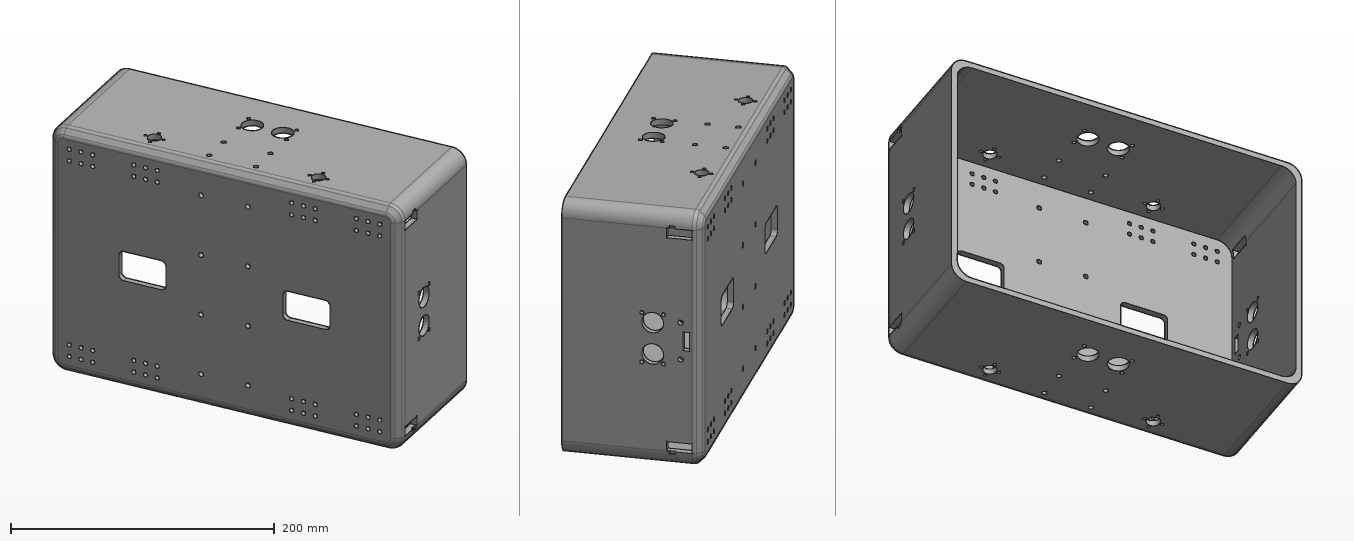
import cadquery as cq

LENGTH = 300.0
DEPTH = 110.0
HEIGHT = 210.0
WALL = 5.0
CORNER_RADIUS = 12.5
FRONT_CHAMFER = 6.3
CHAMFER_BLEND_RADIUS = 4.3

FRONT_Y = -DEPTH / 2
LEFT_X = -LENGTH / 2

CUTTER_START_Y = FRONT_Y + 2 * WALL
CUTTER_LENGTH = 3 * WALL

WINDOW_LENGTH = 40.0
WINDOW_HEIGHT = 25.0
WINDOW_RADIUS = 4.0
WINDOW_X = 70.0
BOARD_HOLE_DIAMETER = 4.0
BOARD_HOLE_COLUMN_PITCH = 40.0
BOARD_HOLE_ROW_PITCH = 51.2
BOARD_HOLE_ROWS = 4
GRID_HOLE_DIAMETER = 3.5
GRID_PITCH = 10.0
GRID_COLUMNS = 3
GRID_ROWS = 2
GRID_CENTRES_X = (67.4, 122.5)
GRID_CENTRE_Z = 84.1

EYE_DIAMETER = 17.0
EYE_PITCH = 26.0
SENSOR_SCREW_DIAMETER = 3.0
SENSOR_SCREW_PITCH_LONG = 41.0
SENSOR_SCREW_PITCH_SHORT = 17.0
TOP_SENSOR_Y = 16.5
SIDE_SENSOR_Y = -16.2
RIGHT_SENSOR_SHIFT = 0.8
RIGHT_SENSOR_NARROWING = 1.6

BRACKET_HOLE_DIAMETER = 4.0
BRACKET_HOLE_PITCH_X = 40.0
BRACKET_HOLE_PITCH_Y = 24.0
BRACKET_CENTRE_Y = -29.5
MOUNT_X = 70.0
MOUNT_Y = -35.0
MOUNT_HOLE_DIAMETER = 11.0
MOUNT_SCREW_DIAMETER = 2.5
MOUNT_SCREW_OFFSET = 7.6

SLOT_WIDTH = 20.0
SLOT_HEIGHT = 8.0
SLOT_FRONT_MARGIN = 8.0
SLOT_FRONT_Y = FRONT_Y + SLOT_FRONT_MARGIN
SLOT_OUTER_Z = HEIGHT / 2 - CORNER_RADIUS
NOTCH_WIDTH = 4.5
NOTCH_HEIGHT = 2.0
NOTCH_DEPTH = 1.5
NOTCH_Y = -31.2

CONNECTOR_WIDTH = 5.2
CONNECTOR_HEIGHT = 15.5
CONNECTOR_Y = -42.5
CONNECTOR_SCREW_DIAMETER = 4.0
CONNECTOR_SCREW_PITCH = 30.6
CONNECTOR_SCREW_Y = -38.0


def make_shell():
    """Rounded box with a bevelled front rim, hollowed from the back."""
    bevelled = (
        cq.Workplane("XY")
        .box(LENGTH, DEPTH, HEIGHT)
        .edges("|Y")
        .fillet(CORNER_RADIUS)
        .faces("<Y")
        .chamfer(FRONT_CHAMFER)
    )
    outer = bevelled.edges(">>Y[0] or >>Y[2]").fillet(CHAMFER_BLEND_RADIUS)
    cavity = (
        cq.Workplane("XY")
        .box(LENGTH - 2 * WALL, DEPTH, HEIGHT - 2 * WALL)
        .edges("|Y")
        .fillet(CORNER_RADIUS)
        .translate((0, WALL, 0))
    )
    return outer.cut(cavity)


def centred_row(count, pitch):
    """Positions of evenly spaced items centred on zero."""
    return [(index - (count - 1) / 2) * pitch for index in range(count)]


def front_tool(points, diameter):
    """Round cutters through the front plate, at (x, z) points."""
    return (
        cq.Workplane("XZ", origin=(0, CUTTER_START_Y, 0))
        .pushPoints(points)
        .circle(diameter / 2)
        .extrude(CUTTER_LENGTH)
    )


def vertical_tool(points, diameter):
    """Round cutters through the top and bottom walls, at (x, y) points."""
    return cq.Workplane("XY").pushPoints(points).circle(diameter / 2).extrude(HEIGHT, both=True)


def side_tool(side, points, diameter):
    """Round cutters through one side wall (side -1 is -X, +1 is +X), at (y, z) points."""
    return cq.Workplane("YZ").pushPoints(points).circle(diameter / 2).extrude(side * LENGTH)


def rectangle_points(pitch_u, pitch_v, centre_u, centre_v):
    """Corners of a rectangle around a centre."""
    return [
        (centre_u + su * pitch_u / 2, centre_v + sv * pitch_v / 2)
        for su in (-1, 1)
        for sv in (-1, 1)
    ]


def cut_front_plate(body):
    """Windows, board holes and screw hole grids of the front plate."""
    windows = (
        cq.Workplane("XZ", origin=(0, CUTTER_START_Y, 0))
        .pushPoints([(-WINDOW_X, 0), (WINDOW_X, 0)])
        .rect(WINDOW_LENGTH, WINDOW_HEIGHT)
        .extrude(CUTTER_LENGTH)
        .edges("|Y")
        .fillet(WINDOW_RADIUS)
    )
    board_points = [
        (side * BOARD_HOLE_COLUMN_PITCH / 2, z)
        for side in (-1, 1)
        for z in centred_row(BOARD_HOLE_ROWS, BOARD_HOLE_ROW_PITCH)
    ]
    grid_points = [
        (side_x * centre_x + dx, side_z * GRID_CENTRE_Z + dz)
        for centre_x in GRID_CENTRES_X
        for side_x in (-1, 1)
        for side_z in (-1, 1)
        for dx in centred_row(GRID_COLUMNS, GRID_PITCH)
        for dz in centred_row(GRID_ROWS, GRID_PITCH)
    ]
    body = body.cut(windows)
    body = body.cut(front_tool(board_points, BOARD_HOLE_DIAMETER))
    return body.cut(front_tool(grid_points, GRID_HOLE_DIAMETER))


def cut_top_and_bottom(body):
    """Sensor, bracket and round mount openings, through both the top and the bottom wall."""
    eyes = [(side * EYE_PITCH / 2, TOP_SENSOR_Y) for side in (-1, 1)]
    sensor_screws = rectangle_points(
        SENSOR_SCREW_PITCH_LONG, SENSOR_SCREW_PITCH_SHORT, 0, TOP_SENSOR_Y)
    bracket = rectangle_points(BRACKET_HOLE_PITCH_X, BRACKET_HOLE_PITCH_Y, 0, BRACKET_CENTRE_Y)
    mounts = [(side * MOUNT_X, MOUNT_Y) for side in (-1, 1)]
    mount_screws = [
        (x + dx * MOUNT_SCREW_OFFSET, y + dy * MOUNT_SCREW_OFFSET)
        for x, y in mounts
        for dx, dy in ((1, 0), (-1, 0), (0, 1), (0, -1))
    ]
    body = body.cut(vertical_tool(eyes, EYE_DIAMETER))
    body = body.cut(vertical_tool(sensor_screws, SENSOR_SCREW_DIAMETER))
    body = body.cut(vertical_tool(bracket, BRACKET_HOLE_DIAMETER))
    body = body.cut(vertical_tool(mounts, MOUNT_HOLE_DIAMETER))
    return body.cut(vertical_tool(mount_screws, MOUNT_SCREW_DIAMETER))


def cut_side_sensor(body, side, centre_y, eye_pitch, screw_pitch_z):
    """Two eyes and four screw holes through one side wall."""
    eyes = [(centre_y, end * eye_pitch / 2) for end in (-1, 1)]
    screws = rectangle_points(SENSOR_SCREW_PITCH_SHORT, screw_pitch_z, centre_y, 0)
    body = body.cut(side_tool(side, eyes, EYE_DIAMETER))
    return body.cut(side_tool(side, screws, SENSOR_SCREW_DIAMETER))


def cut_side_sensors(body):
    """Sensor openings of the left and right walls."""
    body = cut_side_sensor(body, -1, SIDE_SENSOR_Y, EYE_PITCH, SENSOR_SCREW_PITCH_LONG)
    return cut_side_sensor(
        body,
        1,
        SIDE_SENSOR_Y + RIGHT_SENSOR_SHIFT,
        EYE_PITCH - RIGHT_SENSOR_NARROWING,
        SENSOR_SCREW_PITCH_LONG - RIGHT_SENSOR_NARROWING,
    )


def cut_strap_slots(body):
    """Slots through both side walls near the top and bottom, each with a shallow corner notch."""
    for end in (-1, 1):
        slot = cq.Workplane("XY").box(2 * LENGTH, SLOT_WIDTH, SLOT_HEIGHT).translate(
            (0, SLOT_FRONT_Y + SLOT_WIDTH / 2, end * (SLOT_OUTER_Z - SLOT_HEIGHT / 2)))
        body = body.cut(slot)
        for side in (-1, 1):
            notch = cq.Workplane("XY").box(2 * NOTCH_DEPTH, NOTCH_WIDTH, 2 * NOTCH_HEIGHT).translate(
                (side * LENGTH / 2, NOTCH_Y, end * SLOT_OUTER_Z))
            body = body.cut(notch)
    return body


def cut_connector(body):
    """Rectangular opening with two screw holes in the left wall."""
    opening = cq.Workplane("XY").box(CUTTER_LENGTH, CONNECTOR_WIDTH, CONNECTOR_HEIGHT).translate(
        (LEFT_X, CONNECTOR_Y, 0))
    screws = [(CONNECTOR_SCREW_Y, side * CONNECTOR_SCREW_PITCH / 2) for side in (-1, 1)]
    return body.cut(opening).cut(side_tool(-1, screws, CONNECTOR_SCREW_DIAMETER))


result = make_shell()
result = cut_front_plate(result)
result = cut_top_and_bottom(result)
result = cut_side_sensors(result)
result = cut_strap_slots(result)
result = cut_connector(result)